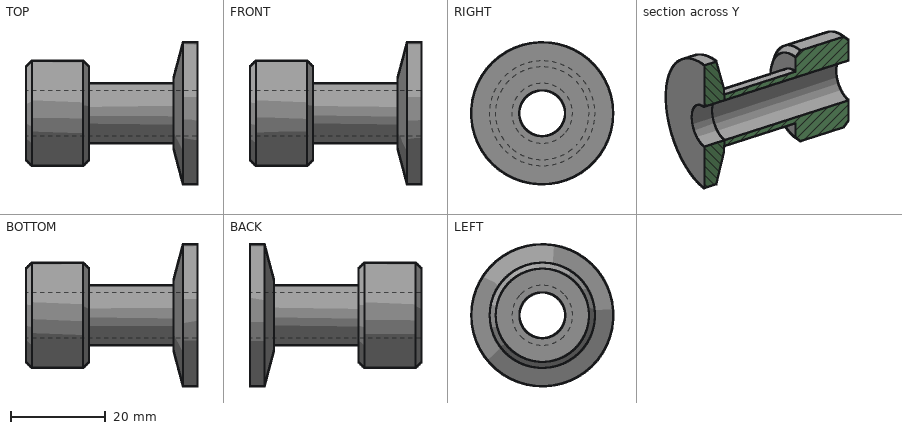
import cadquery as cq

total_length = 36.2
bore_diameter = 9.6

collar_diameter = 22.2
collar_length = 13.35
collar_chamfer = 1.25
tube_diameter = 12.7

flange_diameter = 29.97
rim_thickness = 3.1
cone_length = 2.0
cone_small_diameter = 15.0
flange_length = rim_thickness + cone_length
tube_end = total_length - flange_length


def disc(start, length, diameter):
    """Solid cylinder along +X from the given X position."""
    return cq.Workplane("YZ", origin=(start, 0, 0)).circle(diameter / 2).extrude(length)


def make_collared_tube():
    """Bored tube with a collar chamfered on both outer edges."""
    collar = disc(0, collar_length, collar_diameter).edges().chamfer(collar_chamfer)
    tube = disc(collar_length, tube_end - collar_length, tube_diameter)
    return collar.union(tube).cut(disc(0, tube_end, bore_diameter))


def make_flange():
    """Bored flange that butts against the tube end, revolved about X."""
    rim_start = total_length - rim_thickness
    profile = [
        (tube_end, bore_diameter / 2),
        (tube_end, cone_small_diameter / 2),
        (rim_start, flange_diameter / 2),
        (total_length, flange_diameter / 2),
        (total_length, bore_diameter / 2),
    ]
    return cq.Workplane("XY").polyline(profile).close().revolve(360, (0, 0, 0), (1, 0, 0))


collared_tube = make_collared_tube()
flange = make_flange()

result = cq.Compound.makeCompound([collared_tube.val(), flange.val()])